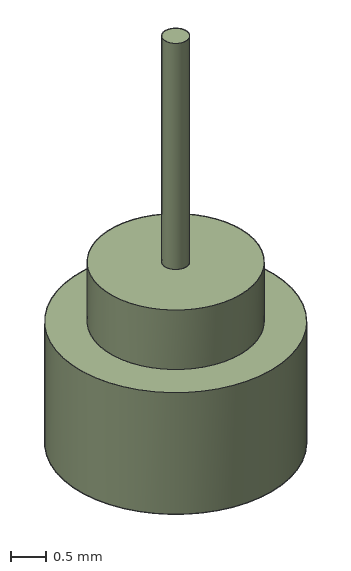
import cadquery as cq

total_height = 6.85

base_diameter = 3.7
base_height = 2.05
collar_diameter = 2.5
collar_height = 1.0

pin_diameter = 0.4
pin_height = total_height - base_height - collar_height


def stack_cylinder(body, diameter, height):
    """Add a coaxial cylinder on the top face of the body."""
    return body.faces(">Z").workplane().circle(diameter / 2).extrude(height)


base = cq.Workplane("XY").circle(base_diameter / 2).extrude(base_height)
stepped_body = stack_cylinder(base, collar_diameter, collar_height)
result = stack_cylinder(stepped_body, pin_diameter, pin_height)